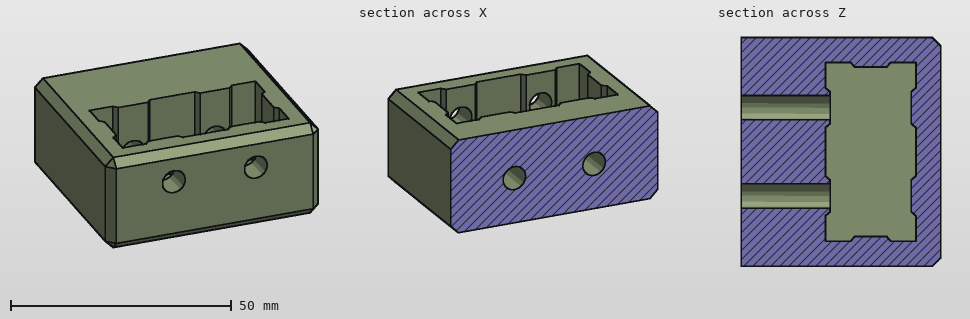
import cadquery as cq

length = 45.35
width = 51.9
height = 22.85
edge_chamfer = 1.95

cell = 20.0
pocket_clearance = 0.45
pocket_length = cell + pocket_clearance
pocket_width = 2 * cell + pocket_clearance
pocket_center_x = 29.4
pocket_depth = 19.75
pocket_floor_z = height - pocket_depth

rib_height = 1.05
rib_base = 9.05
rib_tip = 7.25

hole_diameter = 5.5
hole_positions_y = (-cell / 2, cell / 2)
front_hole_z = 11.0
back_hole_z = 15.05


def make_block():
    block = cq.Workplane("XY").box(length, width, height, centered=(False, True, False))
    return block.edges("|X or >X").chamfer(edge_chamfer)


def make_rib(x, y, inward_angle):
    """Rib standing on the wall at (x, y); inward_angle turns it from +X to face into the pocket."""
    return (
        cq.Workplane("XY")
        .polyline([
            (0, -rib_base / 2),
            (rib_height, -rib_tip / 2),
            (rib_height, rib_tip / 2),
            (0, rib_base / 2),
        ])
        .close()
        .extrude(pocket_depth)
        .rotate((0, 0, 0), (0, 0, 1), inward_angle)
        .translate((x, y, pocket_floor_z))
    )


def make_pocket():
    pocket = (
        cq.Workplane("XY")
        .box(pocket_length, pocket_width, pocket_depth, centered=(True, True, False))
        .translate((pocket_center_x, 0, pocket_floor_z))
    )
    for y in hole_positions_y:
        pocket = pocket.cut(make_rib(pocket_center_x - pocket_length / 2, y, 0))
        pocket = pocket.cut(make_rib(pocket_center_x + pocket_length / 2, y, 180))
    pocket = pocket.cut(make_rib(pocket_center_x, -pocket_width / 2, 90))
    return pocket.cut(make_rib(pocket_center_x, pocket_width / 2, -90))


def make_holes(start_x, end_x, z):
    """Pair of holes along X between start_x and end_x."""
    return (
        cq.Workplane("YZ", origin=(start_x, 0, z))
        .pushPoints([(y, 0) for y in hole_positions_y])
        .circle(hole_diameter / 2)
        .extrude(end_x - start_x)
    )


result = (
    make_block()
    .cut(make_pocket())
    .cut(make_holes(0, pocket_center_x, front_hole_z))
    .cut(make_holes(pocket_center_x, length, back_hole_z))
)